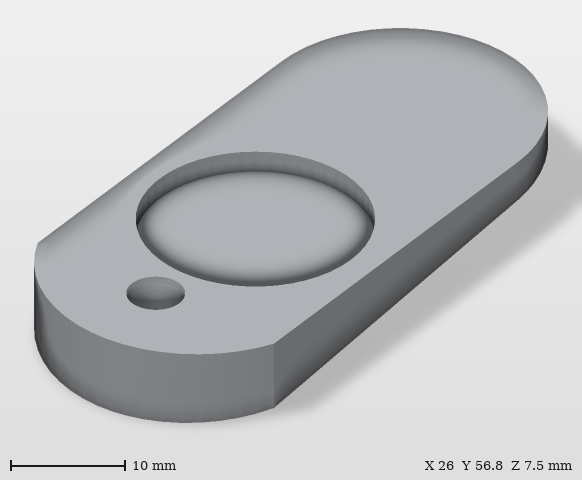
import cadquery as cq

width = 26.0
length = 56.75
front_thickness = 7.5
back_thickness = 3.0
half_width = width / 2
front_bulge = 8.3

pocket_diameter = 21.0
pocket_depth = 2.1
pocket_y = 22.75
dimple_diameter = 5.15
dimple_radius = dimple_diameter / 2
dimple_y = front_bulge


def make_plate():
    """Rounded outline, limited in height by a wedge-shaped side profile."""
    back_arc_start = length - half_width
    outline = (
        cq.Workplane("XY")
        .workplane(offset=-front_thickness)
        .moveTo(-half_width, front_bulge)
        .threePointArc((0, 0), (half_width, front_bulge))
        .lineTo(half_width, back_arc_start)
        .threePointArc((0, length), (-half_width, back_arc_start))
        .close()
        .extrude(front_thickness)
    )
    wedge = (
        cq.Workplane("YZ")
        .polyline([(0, 0), (length, 0), (length, -back_thickness), (0, -front_thickness)])
        .close()
        .extrude(half_width, both=True)
    )
    return outline.intersect(wedge)


def make_pocket():
    return (
        cq.Workplane("XY")
        .center(0, pocket_y)
        .circle(pocket_diameter / 2)
        .extrude(-pocket_depth)
    )


def make_dimple():
    """Sphere centred on the top face, leaving a hemispherical hollow."""
    return cq.Workplane("XY").sphere(dimple_radius).translate((0, dimple_y, 0))


result = make_plate().cut(make_pocket()).cut(make_dimple())